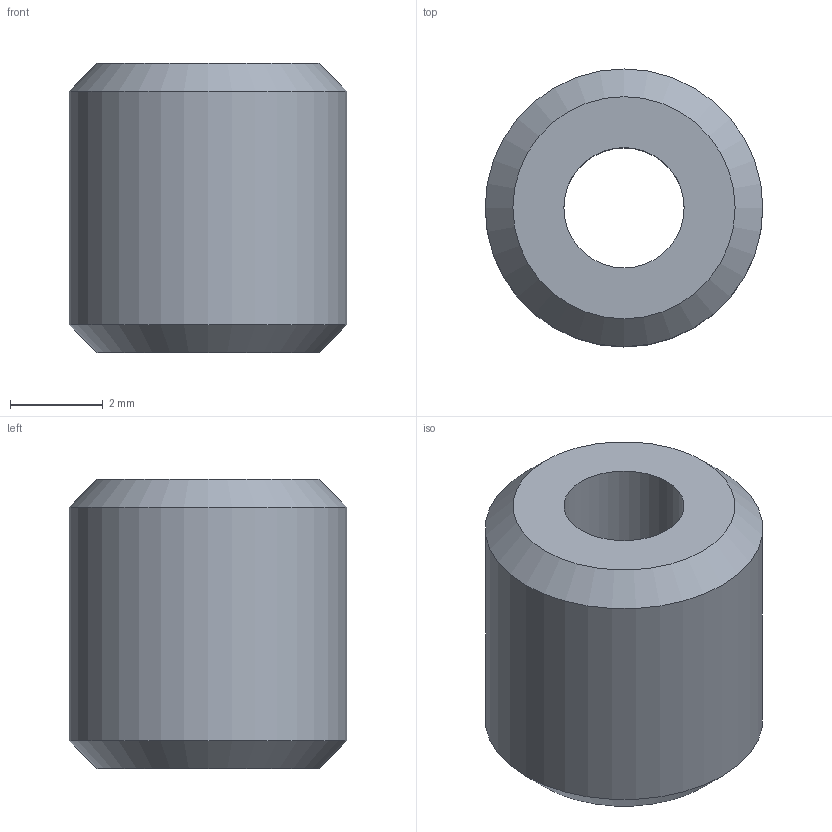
import cadquery as cq

outer_diameter = 6.0
bore_diameter = 2.6
length = 6.25
edge_chamfer = 0.6


def axial_cylinder(diameter):
    """Full-length cylinder standing on the XY plane, with its axis on Z."""
    return cq.Workplane("XY").circle(diameter / 2).extrude(length)


body = axial_cylinder(outer_diameter).faces("|Z").edges().chamfer(edge_chamfer)

bore = axial_cylinder(bore_diameter)

result = body.cut(bore)